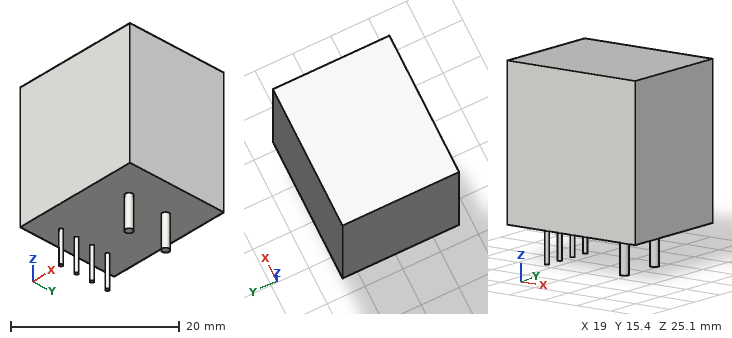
import cadquery as cq

HOUSING_LENGTH = 19.0
HOUSING_WIDTH = 15.4
OVERALL_HEIGHT = 25.1
PIN_LENGTH = 5.1
HOUSING_HEIGHT = OVERALL_HEIGHT - PIN_LENGTH

THIN_PIN_DIAMETER = 0.55
THIN_PIN_COUNT = 4
THIN_PIN_PITCH = 2.54
THIN_PIN_INSET = 2.99
THIN_ROW_X = -HOUSING_LENGTH / 2 + THIN_PIN_INSET

THICK_PIN_DIAMETER = 1.1
THICK_PIN_COUNT = 2
THICK_PIN_PITCH = 6.0
ROW_SPACING = 10.9
THICK_ROW_X = THIN_ROW_X + ROW_SPACING


def make_housing():
    """Plain block standing on the plane Z = 0, centred on the Z axis."""
    return cq.Workplane("XY").box(
        HOUSING_LENGTH, HOUSING_WIDTH, HOUSING_HEIGHT, centered=(True, True, False)
    )


def make_pin(diameter, x, y):
    """Round pin hanging from the underside of the housing."""
    return cq.Workplane("XY").center(x, y).circle(diameter / 2).extrude(-PIN_LENGTH)


def make_pin_row(diameter, count, pitch, x):
    """Separate pins in a row along Y, centred on the housing."""
    first_y = -pitch * (count - 1) / 2
    return [make_pin(diameter, x, first_y + index * pitch) for index in range(count)]


housing = make_housing()
thin_pins = make_pin_row(THIN_PIN_DIAMETER, THIN_PIN_COUNT, THIN_PIN_PITCH, THIN_ROW_X)
thick_pins = make_pin_row(THICK_PIN_DIAMETER, THICK_PIN_COUNT, THICK_PIN_PITCH, THICK_ROW_X)

result = cq.Compound.makeCompound(
    [housing.val()] + [pin.val() for pin in thin_pins + thick_pins]
)